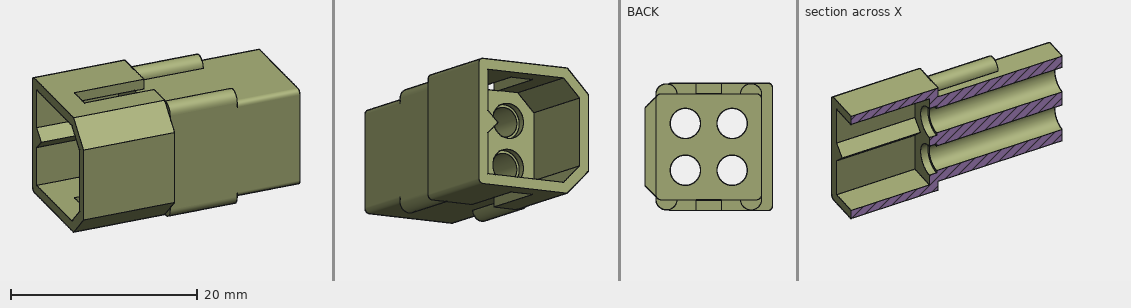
import cadquery as cq

length = 25.91
shroud_size = 13.72
wall = 1.143
shroud_length = 10.68
cavity_depth = 9.6
shroud_chamfer = 2.67
shroud_round = 0.51
body_size = 11.38
body_round = 0.57

key_height = 1.25
key_half_width = 1.19

slot_width = 2.71
front_bar = 2.52

rib_width = 2.286
rib_length = 7.86
rib_clearance = 0.08

hole_pitch = 5.03
hole_diameter = 3.23
counterbore_diameter = 3.83
counterbore_depth = 0.89

half_shroud = shroud_size / 2
half_cavity = half_shroud - wall
half_body = body_size / 2
rib_radius = rib_width / 2
rib_center_x = half_body - rib_radius
rib_crest = half_shroud - rib_clearance


def extrude_along_y(sketch, start, depth):
    """Extrude an XZ workplane sketch function toward +Y from y = start."""
    plane = cq.Workplane("XZ", origin=(0, start, 0))
    return sketch(plane).extrude(-depth)


def square_block(size, start, depth):
    return extrude_along_y(lambda plane: plane.rect(size, size), start, depth)


def keyed_block(depth):
    """Square block from the mouth inward, with the two +X corners chamfered."""
    block = square_block(shroud_size, 0, depth)
    return block.edges("|Y and >X").chamfer(shroud_chamfer)


def make_shroud():
    return keyed_block(shroud_length).edges("|Y and <X").fillet(shroud_round)


def make_body():
    block = square_block(body_size, cavity_depth, length - cavity_depth)
    return block.edges("|Y").fillet(body_round)


def make_ribs():
    """Round-ended ribs through the body, standing proud of its top and bottom and flush with its sides."""
    height = 2 * rib_crest
    centers = [(-rib_center_x, 0), (rib_center_x, 0)]
    return extrude_along_y(
        lambda plane: plane.pushPoints(centers).slot2D(height, rib_width, 90),
        shroud_length,
        rib_length,
    )


def make_cavity():
    """Mouth of the shroud: its outline offset inward, less the keying rib."""
    outline = keyed_block(cavity_depth).faces("<Y").wires().toPending().workplane()
    cavity = outline.offset2D(-wall).extrude(-cavity_depth, combine=False)
    key_points = [
        (-half_cavity, -key_half_width),
        (-half_cavity + key_height, 0),
        (-half_cavity, key_half_width),
    ]
    key = extrude_along_y(lambda plane: plane.polyline(key_points).close(), 0, cavity_depth)
    return cavity.cut(key)


def make_slots():
    """Latch slots through the top and bottom walls, open to the rear and level with the body."""
    slot_height = half_shroud - half_body
    slot_length = shroud_length - front_bar
    slots = cq.Workplane("XY")
    for side in (-1, 1):
        center = (0, front_bar + slot_length / 2, side * (half_body + slot_height / 2))
        slot = cq.Workplane("XY").box(slot_width, slot_length, slot_height).translate(center)
        slots = slots.union(slot)
    return slots


def hole_group(diameter, start, depth):
    """Cylinders on the 2 x 2 contact grid."""
    return extrude_along_y(
        lambda plane: plane.rarray(hole_pitch, hole_pitch, 2, 2).circle(diameter / 2),
        start,
        depth,
    )


def make_holes():
    """Four contact holes, counterbored from the cavity floor."""
    through = hole_group(hole_diameter, 0, length)
    counterbores = hole_group(counterbore_diameter, cavity_depth, counterbore_depth)
    return through.union(counterbores)


housing = make_shroud().union(make_body()).union(make_ribs())
result = housing.cut(make_cavity()).cut(make_slots()).cut(make_holes())